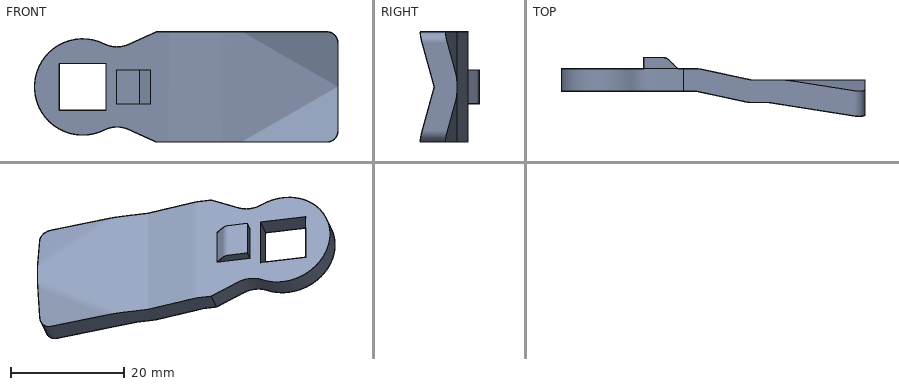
import cadquery as cq
import math

overall_length = 53.5
thickness = 4.0
half_width = 9.75
hub_radius = 8.5
hole_side = 8.2
tip_x = overall_length - hub_radius
tip_corner_radius = 2.0

neck_radius = 5.0
neck_center_x = 6.05
shoulder_x = 13.0

joggle_start_x = 15.3
joggle_end_x = 24.5
joggle_step = 2.0
inner_bend_radius = 1.35
outer_bend_radius = inner_bend_radius + thickness

fold_start_x = 28.05
fold_angle = math.radians(17.6)
back_crease_offset = 1.45
back_crease_radius = outer_bend_radius

stop_start_x = 6.0
stop_length = 6.0
stop_width = 6.0
stop_height = 2.0
stop_round = 1.6

front_y = -joggle_step
back_y = front_y + thickness


def make_outline():
    """Silhouette in XZ, extruded through the full depth of the part."""
    center_distance = hub_radius + neck_radius
    neck_center_z = math.sqrt(center_distance**2 - neck_center_x**2)
    hub_share = hub_radius / center_distance
    hub_tangent = (neck_center_x * hub_share, neck_center_z * hub_share)

    dx = shoulder_x - neck_center_x
    dz = half_width - neck_center_z
    reach = math.hypot(dx, dz)
    angle = math.atan2(dz, dx) - math.acos(neck_radius / reach)
    line_tangent = (
        neck_center_x + neck_radius * math.cos(angle),
        neck_center_z + neck_radius * math.sin(angle),
    )
    neck_bottom = (neck_center_x, neck_center_z - neck_radius)

    def mirrored(point):
        return point[0], -point[1]

    depth = 4 * thickness
    return (
        cq.Workplane("XZ", origin=(0, depth / 2, 0))
        .moveTo(*hub_tangent)
        .threePointArc(neck_bottom, line_tangent)
        .lineTo(shoulder_x, half_width)
        .lineTo(tip_x, half_width)
        .lineTo(tip_x, -half_width)
        .lineTo(shoulder_x, -half_width)
        .lineTo(*mirrored(line_tangent))
        .threePointArc(mirrored(neck_bottom), mirrored(hub_tangent))
        .threePointArc((-hub_radius, 0), hub_tangent)
        .close()
        .extrude(depth)
        .edges("|Y and >X")
        .fillet(tip_corner_radius)
    )


def make_joggled_strip():
    """Strip of constant thickness with two rounded bends."""
    joggle_angle = math.atan2(joggle_step, joggle_end_x - joggle_start_x)
    back_shift = thickness * math.tan(joggle_angle / 2)
    strip = (
        cq.Workplane("XY", origin=(0, 0, -half_width))
        .moveTo(-hub_radius, 0)
        .lineTo(joggle_start_x, 0)
        .lineTo(joggle_end_x, front_y)
        .lineTo(tip_x, front_y)
        .lineTo(tip_x, back_y)
        .lineTo(joggle_end_x + back_shift, back_y)
        .lineTo(joggle_start_x + back_shift, thickness)
        .lineTo(-hub_radius, thickness)
        .close()
        .extrude(2 * half_width)
    )
    inner_bends = [(joggle_start_x, 0), (joggle_end_x + back_shift, back_y)]
    outer_bends = [(joggle_end_x, front_y), (joggle_start_x + back_shift, thickness)]
    for bends, radius in ((inner_bends, inner_bend_radius), (outer_bends, outer_bend_radius)):
        for x, y in bends:
            strip = strip.edges(cq.selectors.NearestToPointSelector((x, y, 0))).fillet(radius)
    return strip


def fold_wedge(crease_offset, face_y, side):
    """Wedge between a blade face and its folded continuation; side is +1 for the upper corner."""
    fold_run = tip_x - fold_start_x
    fold_length = math.hypot(fold_run, half_width)
    across = (half_width / fold_length, 0, side * fold_run / fold_length)
    along = (fold_run, 0, -side * half_width)
    plane = cq.Plane(origin=(fold_start_x, face_y, side * half_width), xDir=across, normal=along)
    drop_sign = -1 if plane.yDir.y > 0 else 1
    drop = (half_width - crease_offset) * math.tan(fold_angle)
    return (
        cq.Workplane(plane)
        .moveTo(crease_offset, 0)
        .lineTo(half_width, 0)
        .lineTo(half_width, drop_sign * drop)
        .close()
        .extrude(fold_length, both=True)
    )


def make_stop(base_y):
    """Block with a 45 degree ramp on its +X end."""
    return (
        cq.Workplane("XY", origin=(0, base_y, -stop_width / 2))
        .moveTo(stop_start_x, 0)
        .lineTo(stop_start_x + stop_length, 0)
        .lineTo(stop_start_x + stop_length - stop_height, stop_height)
        .lineTo(stop_start_x, stop_height)
        .close()
        .extrude(stop_width)
    )


outline = make_outline()
result = make_joggled_strip().intersect(outline)

fold_slope = half_width / (tip_x - fold_start_x)
back_crease_x = fold_start_x + back_crease_offset * math.hypot(1, 1 / fold_slope)
crease_mid_x = (back_crease_x + tip_x) / 2
crease_mid_z = half_width - (crease_mid_x - back_crease_x) * fold_slope
for side in (1, -1):
    result = result.union(fold_wedge(0, front_y, side).intersect(outline))
    result = result.cut(fold_wedge(back_crease_offset, back_y, side))
    crease_point = (crease_mid_x, back_y, side * crease_mid_z)
    crease = result.edges(cq.selectors.NearestToPointSelector(crease_point))
    result = crease.fillet(back_crease_radius)

result = result.cut(cq.Workplane("XZ").rect(hole_side, hole_side).extrude(2 * thickness, both=True))

bump = make_stop(thickness).edges("|Z and >Y").edges(">X").fillet(stop_round)
result = result.union(bump).cut(make_stop(0))